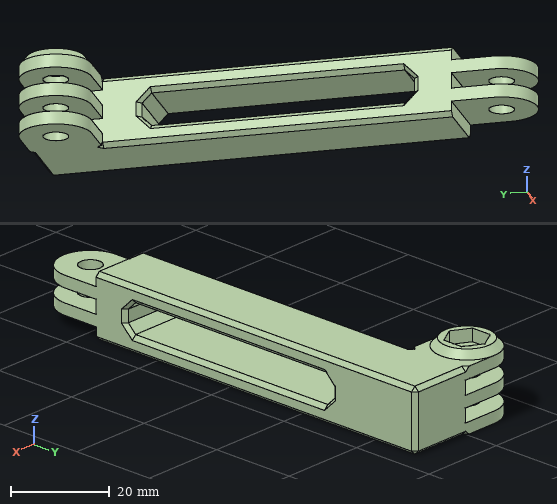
import cadquery as cq

width = 15.0
height = 15.0
prong_reach = 16.0
bar_length = 88.0
edge_chamfer = 1.0

prong_thickness = 2.8
prong_pitch = (height - prong_thickness) / 2
pin_diameter = 5.2

nut_seat_top = 16.8
nut_depth = 3.0
nut_across_corners = 9.8
nut_seat_bevel_width = 1.5
nut_seat_bevel_rise = nut_seat_top - height

window_inset = 7.0
window_height = 7.0
window_corner = 2.0
window_flare = 1.0

bar_left = prong_reach
bar_right = bar_left + width
bar_front = prong_reach
bar_back = bar_front + bar_length
elbow_front = bar_back - width
prong_radius = width / 2
side_pin = (prong_radius, bar_back - prong_radius)
end_pin = (bar_left + prong_radius, prong_radius)
mid_height = height / 2
toward_x = 0
toward_y = 90


def tetrahedron(corner, x_leg, y_leg, z_leg):
    """Solid whose signed legs run along the three axes from one right-angled corner."""
    x, y, z = corner
    apex = cq.Vector(x, y, z)
    tips = [cq.Vector(x + x_leg, y, z), cq.Vector(x, y + y_leg, z), cq.Vector(x, y, z + z_leg)]
    triangles = [
        (apex, tips[0], tips[1]),
        (apex, tips[1], tips[2]),
        (apex, tips[2], tips[0]),
        tuple(tips),
    ]
    faces = [cq.Face.makeFromWires(cq.Wire.makePolygon(list(points), close=True)) for points in triangles]
    return cq.Workplane(cq.Solid.makeSolid(cq.Shell.makeShell(faces)))


def box_between(corner, opposite):
    """Box spanned by two opposite corners, given in either order."""
    low = tuple(map(min, corner, opposite))
    high = tuple(map(max, corner, opposite))
    sizes = [end - start for start, end in zip(low, high)]
    return cq.Workplane().box(*sizes, centered=False).translate(low)


def chamfered_bar():
    """Bar bevelled on its +X and back edges; the -X edges bevel only in front of the elbow."""
    bar = box_between((bar_left, bar_front, 0), (bar_right, bar_back, height))
    bar = bar.edges(">X and |Y").chamfer(edge_chamfer)
    back_bevel = (
        cq.Workplane("YZ", origin=(bar_left, 0, 0))
        .moveTo(bar_back - edge_chamfer, height)
        .lineTo(bar_back, height)
        .lineTo(bar_back, height - edge_chamfer)
        .close()
        .extrude(width)
    )
    side_bevel = (
        cq.Workplane("XZ", origin=(0, bar_front, 0))
        .moveTo(bar_left, height - edge_chamfer)
        .lineTo(bar_left, height)
        .lineTo(bar_left + edge_chamfer, height)
        .close()
        .extrude(bar_front - elbow_front)
    )
    corner_bevel = (
        cq.Workplane()
        .moveTo(bar_right - edge_chamfer, bar_back)
        .lineTo(bar_right, bar_back)
        .lineTo(bar_right, bar_back - edge_chamfer)
        .close()
        .extrude(height)
    )
    for bevel in (back_bevel, side_bevel):
        bar = bar.cut(bevel).cut(bevel.mirror("XY", (0, 0, mid_height)))
    bar = bar.cut(corner_bevel)
    return trim_bar_corners(bar)


def trim_bar_corners(bar):
    """Flatten the top and bottom outer back corners to single triangles."""
    inner = (bar_right - edge_chamfer, bar_back - edge_chamfer)
    for surface, direction in ((height, 1), (0, -1)):
        rise = direction * edge_chamfer
        inner_corner = (*inner, surface - rise)
        cube = box_between(inner_corner, (bar_right, bar_back, surface))
        kept = tetrahedron(inner_corner, edge_chamfer, edge_chamfer, rise)
        bar = bar.cut(cube.cut(kept))
    return bar


def relieve_elbow(part):
    """Small sloping facets where the bevelled bar edges run into the unbevelled side prongs."""
    for surface, direction in ((height, -1), (0, 1)):
        depth = direction * edge_chamfer
        front_root = (bar_left, elbow_front, surface)
        back_root = (bar_left, bar_back, surface)
        part = part.cut(tetrahedron(front_root, -edge_chamfer, edge_chamfer, depth))
        part = part.cut(tetrahedron(front_root, edge_chamfer, edge_chamfer, depth))
        part = part.cut(tetrahedron(back_root, -edge_chamfer, -edge_chamfer, depth))
    return part


def window():
    """Long octagonal opening through the bar, flared at both side faces."""
    middle = (bar_front + elbow_front) / 2
    length = elbow_front - bar_front - 2 * (window_inset + window_flare)

    def section(x, growth):
        half_length = length / 2 + growth
        half_height = window_height / 2 + growth
        corner = window_corner + growth
        quarter = [(half_length, half_height - corner), (half_length - corner, half_height)]
        right = [(y, -z) for y, z in reversed(quarter)] + quarter
        points = right + [(-y, -z) for y, z in right]
        return cq.Workplane("YZ", origin=(x, middle, mid_height)).polyline(points).close()

    def flare(outer_x, inner_x):
        wires = [section(outer_x, window_flare).val(), section(inner_x, 0).val()]
        return cq.Workplane(cq.Solid.makeLoft(wires, True))

    opening = section(bar_left, 0).extrude(width)
    opening = opening.union(flare(bar_left, bar_left + window_flare))
    return opening.union(flare(bar_right, bar_right - window_flare))


def prong(pin, direction, mid_z):
    """Flat prong rounded about its pin; direction is the angle in XY from the pin to the bar."""
    root = prong_reach - prong_radius
    tip = cq.Workplane().circle(prong_radius).extrude(prong_thickness)
    shank = cq.Workplane().rect(root, width).extrude(prong_thickness).translate((root / 2, 0, 0))
    turned = tip.union(shank).rotate((0, 0, 0), (0, 0, 1), direction)
    return turned.translate((*pin, mid_z - prong_thickness / 2))


def nut_seat():
    """Round collar with a conical rim on top of the upper side prong."""
    base_z = nut_seat_top - nut_depth
    seat = cq.Workplane(origin=(*side_pin, base_z)).circle(prong_radius).extrude(nut_depth)
    return seat.faces(">Z").chamfer(nut_seat_bevel_rise, nut_seat_bevel_width)


def nut_pocket():
    """Hexagonal recess with two flats facing -X and +X."""
    flats_toward_x = 30
    pocket = cq.Workplane().polygon(6, nut_across_corners).extrude(nut_depth)
    pocket = pocket.rotate((0, 0, 0), (0, 0, 1), flats_toward_x)
    return pocket.translate((*side_pin, nut_seat_top - nut_depth))


result = chamfered_bar().cut(window())
for step in (-1, 0, 1):
    result = result.union(prong(side_pin, toward_x, mid_height + step * prong_pitch))
for step in (-0.5, 0.5):
    result = result.union(prong(end_pin, toward_y, mid_height + step * prong_pitch))
result = relieve_elbow(result)
result = result.union(nut_seat()).cut(nut_pocket())
for pin in (side_pin, end_pin):
    result = result.cut(cq.Workplane(origin=(*pin, 0)).circle(pin_diameter / 2).extrude(nut_seat_top))